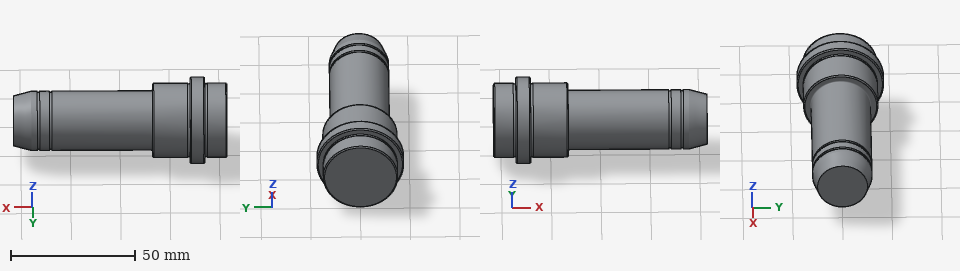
import cadquery as cq
import math

length = 86.0
shank_radius = 24.0 / 2
body_radius = 30.0 / 2
collar_radius = 35.0 / 2

collar_start = 8.95
collar_end = 14.9
body_end = 30.0
shank_groove_starts = (70.5, 75.4)
taper_start = 78.8

edge_chamfer = 0.5
root_fillet = 0.5
relief_width = 1.0
relief_depth = 0.35
shank_groove_radius = 0.5
taper_angle = 15.0


def cylinder(start, end, radius):
    """Solid cylinder on the X axis between two stations."""
    return cq.Workplane("YZ").workplane(offset=start).circle(radius).extrude(end - start)


def chamfered_cylinder(start, end, radius):
    """Cylinder on the X axis with both rims chamfered."""
    return cylinder(start, end, radius).faces("<X or >X").edges().chamfer(edge_chamfer)


def ring_groove(start, width, depth, radius):
    """Ring cutter with an arc section, sunk into a cylinder of the given radius."""
    return (
        cq.Workplane("XY")
        .moveTo(start, radius)
        .threePointArc((start + width / 2, radius - depth), (start + width, radius))
        .close()
        .revolve(360, (0, 0, 0), (1, 0, 0))
    )


def tapered_shank():
    """Shank with a concave root fillet at the body and a conical tip."""
    tip_radius = shank_radius - (length - taper_start) * math.tan(math.radians(taper_angle))
    fillet_middle = root_fillet * (1 - math.sqrt(0.5))
    return (
        cq.Workplane("XY")
        .moveTo(collar_end, 0)
        .lineTo(collar_end, shank_radius + root_fillet)
        .lineTo(body_end, shank_radius + root_fillet)
        .threePointArc(
            (body_end + fillet_middle, shank_radius + fillet_middle),
            (body_end + root_fillet, shank_radius),
        )
        .lineTo(taper_start, shank_radius)
        .lineTo(length, tip_radius)
        .lineTo(length, 0)
        .close()
        .revolve(360, (0, 0, 0), (1, 0, 0))
    )


body = chamfered_cylinder(0, body_end, body_radius)
for relief_start in (collar_start - relief_width, collar_end):
    body = body.cut(ring_groove(relief_start, relief_width, relief_depth, body_radius))

collar = chamfered_cylinder(collar_start, collar_end, collar_radius)

shank = tapered_shank()
for groove_start in shank_groove_starts:
    shank = shank.cut(
        ring_groove(groove_start, 2 * shank_groove_radius, shank_groove_radius, shank_radius)
    )

result = body.union(collar).union(shank)